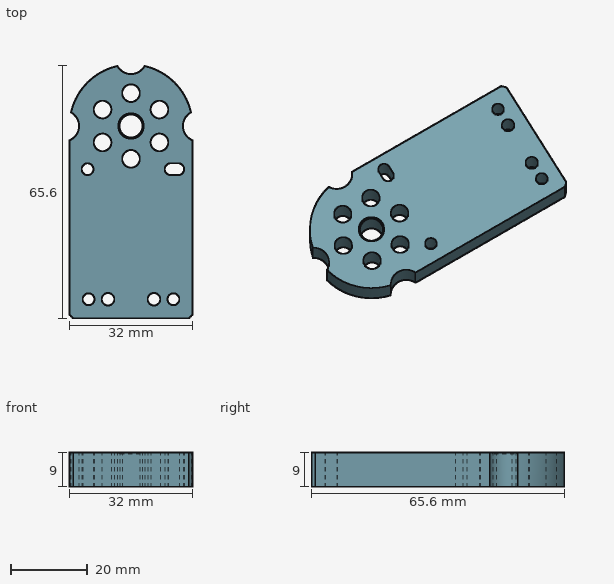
import cadquery as cq

width = 32.0
thickness = 9.0
head_radius = width / 2
foot_distance = 50.0
corner_chamfer = 1.0

notch_diameter = 8.0
notch_center_radius = 17.5

bore_diameter = 6.0
bore_chamfer = 0.3
ring_hole_diameter = 4.5
ring_radius = 8.5
ring_hole_count = 6

locating_diameter = 3.0
locating_x = 11.3
locating_y = -11.2
slot_length = 5.0

foot_hole_y = 5.0 - foot_distance
outer_foot_diameter = 3.0
outer_foot_x = 11.0
inner_foot_diameter = 3.2
inner_foot_x = 6.0


def make_blank():
    """Rectangular plate with chamfered foot corners and a half-round head."""
    foot = (
        cq.Workplane("XY")
        .center(0, -foot_distance / 2)
        .rect(width, foot_distance)
        .extrude(thickness)
        .edges("|Z and <Y")
        .chamfer(corner_chamfer)
    )
    head = cq.Workplane("XY").circle(head_radius).extrude(thickness)
    return foot.union(head)


def through_holes(points, diameter):
    """Cylinders that cut round holes through the plate."""
    return cq.Workplane("XY").pushPoints(points).circle(diameter / 2).extrude(thickness)


def make_ring_holes():
    """Evenly spaced holes around the bore, the first one on the +Y axis."""
    return (
        cq.Workplane("XY")
        .polarArray(ring_radius, 90, 360, ring_hole_count)
        .circle(ring_hole_diameter / 2)
        .extrude(thickness)
    )


def make_bore():
    """Central bore that widens in a chamfer at the top face."""
    bore = through_holes([(0, 0)], bore_diameter)
    countersink = cq.Solid.makeCone(
        bore_diameter / 2,
        bore_diameter / 2 + bore_chamfer,
        bore_chamfer,
        pnt=cq.Vector(0, 0, thickness - bore_chamfer),
    )
    return bore.union(cq.Workplane(countersink))


def make_slot():
    """Slot along X, opposite the locating hole."""
    return (
        cq.Workplane("XY")
        .center(locating_x, locating_y)
        .slot2D(slot_length, locating_diameter)
        .extrude(thickness)
    )


def mirrored_pair(x, y):
    return [(-x, y), (x, y)]


notch_points = mirrored_pair(notch_center_radius, 0) + [(0, notch_center_radius)]

result = (
    make_blank()
    .cut(through_holes(notch_points, notch_diameter))
    .cut(make_bore())
    .cut(make_ring_holes())
    .cut(through_holes([(-locating_x, locating_y)], locating_diameter))
    .cut(make_slot())
    .cut(through_holes(mirrored_pair(outer_foot_x, foot_hole_y), outer_foot_diameter))
    .cut(through_holes(mirrored_pair(inner_foot_x, foot_hole_y), inner_foot_diameter))
)